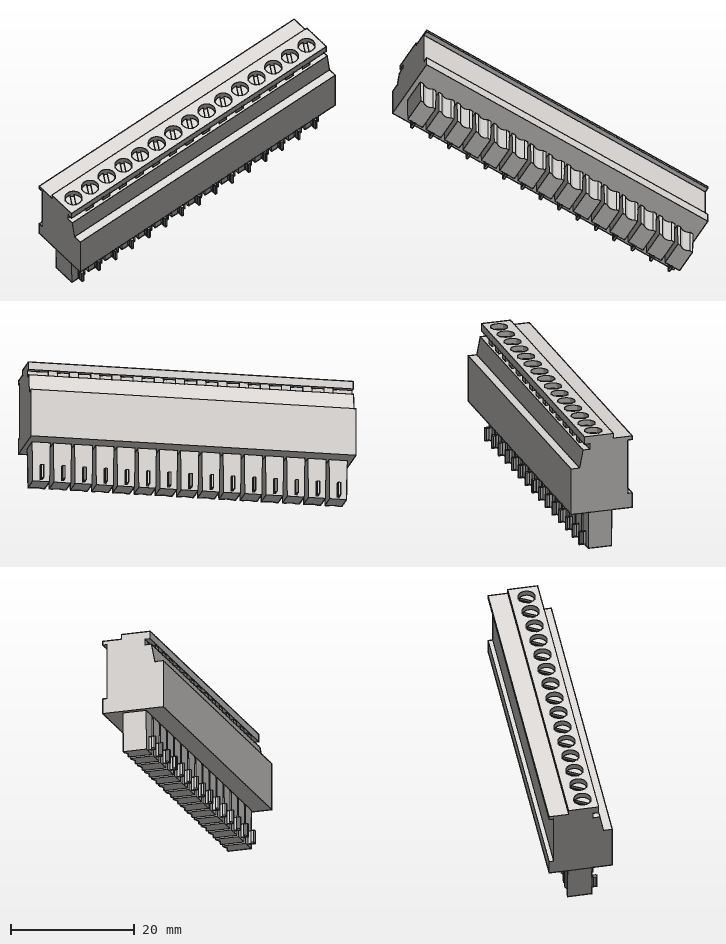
import cadquery as cq
import math

LENGTH = 53.6
HALF_WIDTH = 5.2
TOP_Z = 19.8
HOUSING_BOTTOM_Z = 6.6

FOOT_TOP_Z = 9.1
SIDE_WALL_X = -4.45
LIP_BOTTOM_Z = 18.35
LIP_TOP_Z = 19.0
RIDGE_LEFT_X = -2.0
RIDGE_RIGHT_X = 2.95
GROOVE_TOP_Z = 18.5
GROOVE_BOTTOM_Z = 17.55
GROOVE_FLOOR_X = 2.05
SLOPE_TOP_X = 3.15
SLOPE_BOTTOM_X = 3.75
LEDGE_Z = 14.5

POLE_COUNT = 15
PITCH = 3.5

SCREW_X = 0.7
SCREW_DIAMETER = 2.8
SCREW_RECESS_DEPTH = 0.9
SLOT_WIDTH = 0.65
SLOT_DEPTH = 0.45
SLOT_ANGLE = -30.0

RIB_TIP_X = 2.75
SCALLOP_X = 2.2
SCALLOP_DIAMETER = 2.25

SLEEVE_LEFT_X = -2.0
SLEEVE_RIGHT_X = 2.0
SLEEVE_TOP_WIDTH = 3.0
SLEEVE_BOTTOM_WIDTH = 2.8
FLUTE_DIAMETER = 2.8
FLUTE_WIDTH = 1.75

KEY_BOTTOM_Z = 0.3
KEY_TOP_Z = 2.5
KEY_STEM_WIDTH = 0.3
KEY_STEM_LENGTH = 0.5
KEY_HEAD_WIDTH = 0.55
KEY_HEAD_LENGTH = 0.65
KEY_CHAMFER_LENGTH = 0.2
KEY_CHAMFER_WIDTH = 0.1
KEY_BOTTOM_CHAMFER = 0.2

POLE_Y = [(i - (POLE_COUNT - 1) / 2) * PITCH for i in range(POLE_COUNT)]


def block(x_min, x_max, y_center, y_width, z_min, z_max):
    return (
        cq.Workplane("XY")
        .box(x_max - x_min, y_width, z_max - z_min, centered=(False, True, False))
        .translate((x_min, y_center, z_min))
    )


def make_housing():
    profile = [
        (-HALF_WIDTH, HOUSING_BOTTOM_Z),
        (HALF_WIDTH, HOUSING_BOTTOM_Z),
        (HALF_WIDTH, LEDGE_Z),
        (SLOPE_BOTTOM_X, LEDGE_Z),
        (SLOPE_TOP_X, GROOVE_BOTTOM_Z),
        (GROOVE_FLOOR_X, GROOVE_BOTTOM_Z),
        (GROOVE_FLOOR_X, GROOVE_TOP_Z),
        (RIDGE_RIGHT_X, GROOVE_TOP_Z),
        (RIDGE_RIGHT_X, TOP_Z),
        (RIDGE_LEFT_X, TOP_Z),
        (RIDGE_LEFT_X, LIP_TOP_Z),
        (-HALF_WIDTH, LIP_TOP_Z),
        (-HALF_WIDTH, LIP_BOTTOM_Z),
        (SIDE_WALL_X, LIP_BOTTOM_Z),
        (SIDE_WALL_X, FOOT_TOP_Z),
        (-HALF_WIDTH, FOOT_TOP_Z),
    ]
    return cq.Workplane("XZ").polyline(profile).close().extrude(LENGTH / 2, both=True)


def make_groove_ribs():
    height = GROOVE_TOP_Z - GROOVE_BOTTOM_Z
    ribs = block(GROOVE_FLOOR_X, RIB_TIP_X, 0, POLE_Y[-1] - POLE_Y[0], GROOVE_BOTTOM_Z, GROOVE_TOP_Z)
    scallops = (
        cq.Workplane("XY", origin=(SCALLOP_X, 0, GROOVE_BOTTOM_Z))
        .pushPoints([(0, y) for y in POLE_Y])
        .circle(SCALLOP_DIAMETER / 2)
        .extrude(height)
    )
    return ribs.cut(scallops)


def make_screw_recess(y):
    floor_z = TOP_Z - SCREW_RECESS_DEPTH
    bore = (
        cq.Workplane("XY", origin=(SCREW_X, y, floor_z))
        .circle(SCREW_DIAMETER / 2)
        .extrude(SCREW_RECESS_DEPTH)
    )
    slot = (
        cq.Workplane("XY", origin=(SCREW_X, y, floor_z - SLOT_DEPTH))
        .transformed(rotate=(0, 0, SLOT_ANGLE))
        .rect(SCREW_DIAMETER, SLOT_WIDTH)
        .extrude(SLOT_DEPTH)
    )
    slot_limit = (
        cq.Workplane("XY", origin=(SCREW_X, y, floor_z - SLOT_DEPTH))
        .circle(SCREW_DIAMETER / 2)
        .extrude(SLOT_DEPTH)
    )
    return bore.union(slot.intersect(slot_limit))


def make_sleeve(y):
    half_top = SLEEVE_TOP_WIDTH / 2
    half_bottom = SLEEVE_BOTTOM_WIDTH / 2
    body = (
        cq.Workplane("YZ", origin=(SLEEVE_LEFT_X, y, 0))
        .polyline(
            [
                (-half_bottom, 0),
                (half_bottom, 0),
                (half_top, HOUSING_BOTTOM_Z),
                (-half_top, HOUSING_BOTTOM_Z),
            ]
        )
        .close()
        .extrude(SLEEVE_RIGHT_X - SLEEVE_LEFT_X)
    )
    axis_offset = math.sqrt((FLUTE_DIAMETER / 2) ** 2 - (FLUTE_WIDTH / 2) ** 2)
    flute = (
        cq.Workplane("XY", origin=(SLEEVE_LEFT_X - axis_offset, y, 0))
        .circle(FLUTE_DIAMETER / 2)
        .extrude(HOUSING_BOTTOM_Z)
    )
    return body.cut(flute)


def make_key(y):
    head_x = SLEEVE_RIGHT_X + KEY_STEM_LENGTH
    tip_x = head_x + KEY_HEAD_LENGTH
    half_head = KEY_HEAD_WIDTH / 2
    half_tip = half_head - KEY_CHAMFER_WIDTH
    stem = block(SLEEVE_RIGHT_X, head_x, y, KEY_STEM_WIDTH, KEY_BOTTOM_Z, KEY_TOP_Z)
    head = (
        cq.Workplane("XY", origin=(0, y, KEY_BOTTOM_Z))
        .polyline(
            [
                (head_x, -half_head),
                (tip_x - KEY_CHAMFER_LENGTH, -half_head),
                (tip_x, -half_tip),
                (tip_x, half_tip),
                (tip_x - KEY_CHAMFER_LENGTH, half_head),
                (head_x, half_head),
            ]
        )
        .close()
        .extrude(KEY_TOP_Z - KEY_BOTTOM_Z)
    )
    bevel_top_z = KEY_BOTTOM_Z + KEY_BOTTOM_CHAMFER
    bevel_outline = (
        cq.Workplane("YZ", origin=(head_x, y, 0))
        .polyline(
            [
                (-half_tip, KEY_BOTTOM_Z),
                (half_tip, KEY_BOTTOM_Z),
                (half_head, bevel_top_z),
                (half_head, KEY_TOP_Z),
                (-half_head, KEY_TOP_Z),
                (-half_head, bevel_top_z),
            ]
        )
        .close()
        .extrude(KEY_HEAD_LENGTH)
    )
    return stem.union(head.intersect(bevel_outline))


result = make_housing().union(make_groove_ribs())
for pole_y in POLE_Y:
    result = result.union(make_sleeve(pole_y))
    result = result.union(make_key(pole_y))
    result = result.cut(make_screw_recess(pole_y))